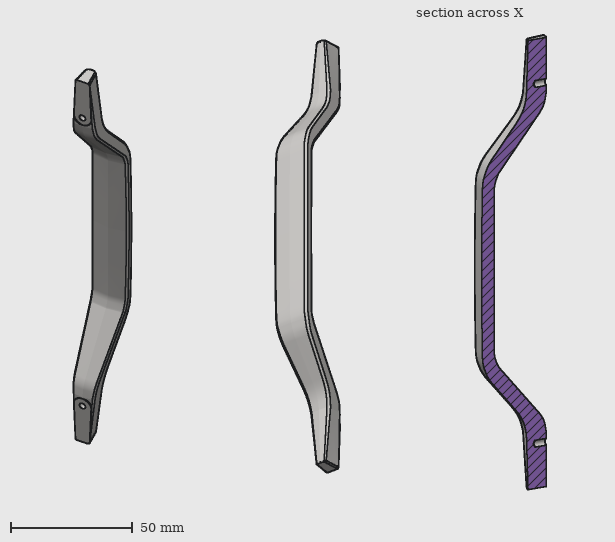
import cadquery as cq
import math

length = 200.0
grip_width = 16.96
grip_back_y = 29.29

end_z = length / 2
foot_z = 75.2
knee_z = 42.6
end_chamfer = 0.6

end_half_width = 3.3
foot_half_width = 5.0
knee_half_width = 8.1
grip_half_width = grip_width / 2

slope_angle = math.radians(38)
front_bend_radius = 15.0
front_bend_top_z = 75.8
grip_front_y = 23.4
back_bend_radius = 22.0
back_bend_top_z = 77.5
end_back_y = 8.4
foot_back_y = 9.0
grip_bow = 0.4

end_edge = 0.05
front_chamfer_x = 0.7
front_chamfer_y = 1.2
back_chamfer_x = 1.1
back_chamfer_y = 1.0
end_back_chamfer = 0.6
end_draft = 0.8
foot_crown = 0.5
grip_crown = 1.25
back_crown = 0.25

hole_z = 80.0
hole_diameter = 2.8
hole_depth = 5.0
drill_point_angle = 118.0
pad_radius = 4.0
pad_thickness = 0.7

arm_steps = 8
grip_steps = 12


def mix(start, end, ratio):
    """Linear value between start and end."""
    return start + (end - start) * ratio


def bend_profile(z, top_z, top_y, bottom_y, radius):
    """Y of an arc-line-arc curve that rises from top_y to bottom_y as z falls from top_z."""
    bend_length = radius * math.sin(slope_angle)
    bend_rise = radius * (1 - math.cos(slope_angle))
    straight_rise = bottom_y - top_y - 2 * bend_rise
    straight_length = straight_rise / math.tan(slope_angle)
    travel = top_z - z
    remaining = 2 * bend_length + straight_length - travel
    if travel <= 0:
        return top_y
    if remaining <= 0:
        return bottom_y
    if travel < bend_length:
        return top_y + radius - math.sqrt(radius**2 - travel**2)
    if remaining < bend_length:
        return bottom_y - radius + math.sqrt(radius**2 - remaining**2)
    return top_y + bend_rise + (travel - bend_length) * math.tan(slope_angle)


def section(z, half_width, front_y, back_y, crown, front_chamfer, back_chamfer, draft=0.0):
    """Closed cross-section at height z: ridged front, chamfered edges, ridged back."""
    front_x, front_depth = front_chamfer
    back_x, back_depth = back_chamfer
    rear_half_width = half_width - draft
    right_side = [
        (half_width - front_x, front_y + crown),
        (half_width, front_y + crown + front_depth),
        (rear_half_width, back_y - back_crown - back_depth),
        (rear_half_width - back_x, back_y - back_crown),
    ]
    left_side = [(-x, y) for x, y in reversed(right_side)]
    points = [(0, front_y)] + right_side + [(0, back_y)] + left_side
    return cq.Wire.makePolygon([cq.Vector(x, y, z) for x, y in points], close=True)


def bar_section(z):
    """Cross-section of the arm and grip at height z, from mid-length to the foot."""
    if z > knee_z:
        half_width = mix(foot_half_width, knee_half_width, (foot_z - z) / (foot_z - knee_z))
    else:
        half_width = mix(grip_half_width, knee_half_width, (z / knee_z) ** 2)
    front_y = bend_profile(z, front_bend_top_z, 0.0, grip_front_y, front_bend_radius)
    back_y = bend_profile(z, back_bend_top_z, foot_back_y, grip_back_y - grip_bow, back_bend_radius)
    back_y += grip_bow * max(0.0, 1 - (z / knee_z) ** 2)
    crown = mix(grip_crown, foot_crown, z / foot_z)
    front_chamfer = (front_chamfer_x, front_chamfer_y)
    back_chamfer = (back_chamfer_x, back_chamfer_y)
    return section(z, half_width, front_y, back_y, crown, front_chamfer, back_chamfer)


def end_section(z, inset):
    """Cross-section at the tip of the foot, narrowed by inset on each side."""
    return section(
        z,
        end_half_width - inset,
        0.0,
        end_back_y,
        end_edge,
        (end_edge, end_edge),
        (end_back_chamfer, end_back_chamfer),
        end_draft,
    )


def loft_between(start_z, end_at_z, steps):
    """Smooth loft of the bar between two heights."""
    heights = [mix(start_z, end_at_z, i / steps) for i in range(steps + 1)]
    return cq.Solid.makeLoft([bar_section(z) for z in heights])


def make_foot():
    """Tapered end block with chamfered end."""
    edge_z = end_z - end_chamfer
    wires = [bar_section(foot_z), end_section(edge_z, 0.0), end_section(end_z, end_chamfer)]
    return cq.Workplane(cq.Solid.makeLoft(wires, True))


def make_pad():
    """Flat mounting pad, rounded around the screw hole."""
    edge_z = end_z - end_chamfer
    edge_x = end_half_width - end_edge
    outline = [
        (-pad_radius, hole_z),
        (-edge_x, edge_z),
        (-edge_x + end_chamfer, end_z),
        (edge_x - end_chamfer, end_z),
        (edge_x, edge_z),
        (pad_radius, hole_z),
    ]
    return (
        cq.Workplane("XZ")
        .polyline(outline)
        .threePointArc((0, hole_z - pad_radius), outline[0])
        .close()
        .extrude(-pad_thickness)
    )


def make_screw_hole():
    """Blind drilled hole with a conical bottom, entering from y = 0."""
    radius = hole_diameter / 2
    tip_depth = hole_depth + radius / math.tan(math.radians(drill_point_angle / 2))
    return (
        cq.Workplane("XY")
        .polyline([(0, 0), (radius, 0), (radius, hole_depth), (0, tip_depth)])
        .close()
        .revolve(360, (0, 0), (0, 1))
        .translate((0, 0, hole_z))
    )


arm = loft_between(foot_z, knee_z, arm_steps)
grip = loft_between(knee_z, 0.0, grip_steps)
half = make_foot().union(cq.Workplane(arm)).union(cq.Workplane(grip))
half = half.union(make_pad()).cut(make_screw_hole())
result = half.union(half.mirror("XY"))